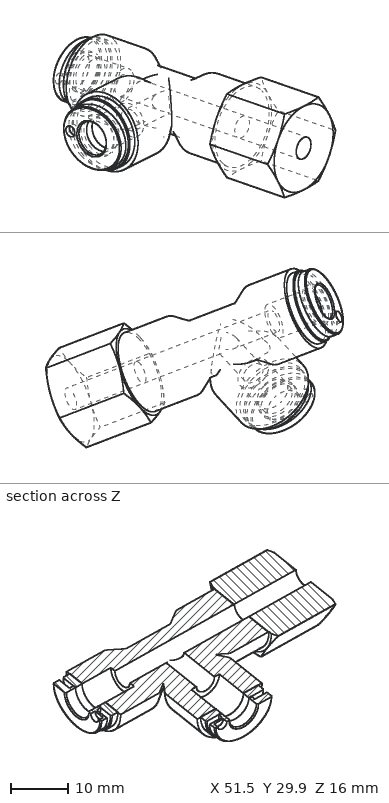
import cadquery as cq
import math

arm_length = 16.8
arm_diameter = 14.7
waist_diameter = 10.6
waist_end = 5.0
taper_end = 8.05
taper_fillet = 1.0

passage_diameter = 4.0
tube_seat_diameter = 6.2
tube_seat_end = 10.3

collar_diameter = 13.15
collar_thickness = 1.5
collar_end = arm_length + collar_thickness
collar_chamfer = 0.2

button_tip = 20.65
button_width = 13.0
button_height = 11.65
button_thickness = 1.5
button_chamfer = 0.2
stem_diameter = 7.5
tube_diameter = 6.15
mouth_chamfer = 0.25
mark_diameter = 2.0
mark_depth = 1.0
mark_offset = 4.85

nut_across_flats = 16.0
nut_sides = 6
overall_length = 51.45
nut_length = overall_length - button_tip - arm_length
nut_chamfer_length = 0.45

LEFT, RIGHT, BRANCH = "left", "right", "branch"
push_in_arms = (LEFT, BRANCH)


def along_arm(shape, arm):
    """Turn a shape from +Z to the -X, +X or -Y arm; local +X becomes +Y, +Y or +X."""
    if arm == BRANCH:
        return shape.rotate((0, 0, 0), (1, 0, 0), 90)
    on_x_axis = shape.rotate((0, 0, 0), (0, 0, 1), 90)
    turn = -90 if arm == LEFT else 90
    return on_x_axis.rotate((0, 0, 0), (0, 1, 0), turn)


def cylinder(diameter, start, end):
    return cq.Workplane("XY").workplane(offset=start).circle(diameter / 2).extrude(end - start)


def make_arm():
    """Solid arm: narrow waist, rounded taper and full-width barrel."""
    waist_radius = waist_diameter / 2
    arm_radius = arm_diameter / 2
    arm = (
        cq.Workplane("XZ")
        .polyline([
            (0, 0),
            (waist_radius, 0),
            (waist_radius, waist_end),
            (arm_radius, taper_end),
            (arm_radius, arm_length),
            (0, arm_length),
        ])
        .close()
        .revolve(360, (0, 0, 0), (0, 1, 0))
    )
    taper_edges = arm.faces("%CONE").edges("%CIRCLE")
    return taper_edges.fillet(taper_fillet)


def make_body():
    body = along_arm(make_arm(), LEFT)
    for arm in (RIGHT, BRANCH):
        body = body.union(along_arm(make_arm(), arm))
    for arm in (LEFT, RIGHT, BRANCH):
        body = body.cut(along_arm(cylinder(passage_diameter, 0, arm_length), arm))
    for arm in push_in_arms:
        body = body.cut(along_arm(cylinder(tube_seat_diameter, tube_seat_end, arm_length), arm))
    return body


def make_collar():
    """Ring on the end of a push-in arm, between the arm and the release button."""
    ring = cylinder(collar_diameter, arm_length, collar_end).faces(">Z").chamfer(collar_chamfer)
    return ring.cut(cylinder(tube_diameter, arm_length, collar_end))


def make_button():
    """Release button: oval head with a blind round mark, on a hollow stem that meets the collar."""
    head_start = button_tip - button_thickness
    head = (
        cq.Workplane("XY")
        .workplane(offset=head_start)
        .ellipse(button_width / 2, button_height / 2)
        .extrude(button_thickness)
        .faces(">Z")
        .chamfer(button_chamfer)
    )
    button = head.union(cylinder(stem_diameter, collar_end, head_start))
    button = button.cut(cylinder(tube_diameter, collar_end, button_tip))
    button = button.faces(">Z").edges("%CIRCLE").chamfer(mouth_chamfer)
    mark = cylinder(mark_diameter, button_tip - mark_depth, button_tip)
    return button.cut(mark.translate((-mark_offset, 0, 0)))


def make_nut():
    """Hexagon nut, corners chamfered down to the across-flats circle at both ends."""
    across_corners = nut_across_flats / math.cos(math.pi / nut_sides)
    nut_end = arm_length + nut_length
    hexagon = (
        cq.Workplane("XY").workplane(offset=arm_length).polygon(nut_sides, across_corners).extrude(nut_length)
    )
    corner_drop = (across_corners - nut_across_flats) / 2
    envelope = (
        cylinder(across_corners, arm_length, nut_end)
        .faces("<Z or >Z")
        .chamfer(nut_chamfer_length, corner_drop)
    )
    return hexagon.intersect(envelope).cut(cylinder(passage_diameter, arm_length, nut_end))


body = make_body()
collars = [along_arm(make_collar(), arm) for arm in push_in_arms]
buttons = [along_arm(make_button(), arm) for arm in push_in_arms]
nut = along_arm(make_nut(), RIGHT)

result = cq.Compound.makeCompound([
    body.val(),
    *[collar.val() for collar in collars],
    *[button.val() for button in buttons],
    nut.val(),
])